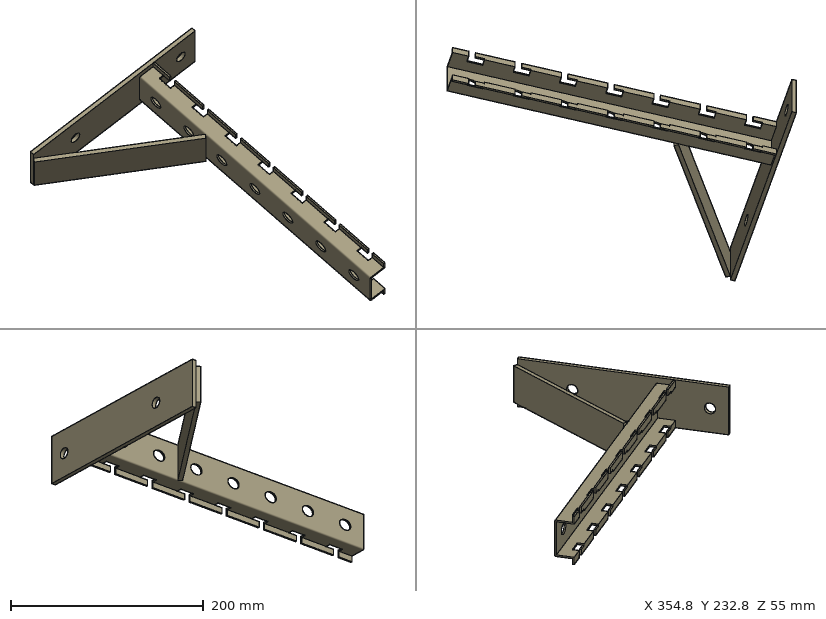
import cadquery as cq
import math

TOTAL_LENGTH = 354.8
PLATE_THICKNESS = 5.0
PLATE_LENGTH = 230.0
PLATE_HEIGHT = 55.0
PLATE_HOLE_DIAMETER = 12.0
PLATE_HOLE_FROM_TOP = 20.2
PLATE_HOLE_SPACING = 150.0

ARM_LENGTH = TOTAL_LENGTH - PLATE_THICKNESS
ARM_HEIGHT = 42.0
ARM_DEPTH = 21.3
LIP_SPAN = PLATE_HEIGHT
ARM_FROM_TOP = 58.0
SHEET_THICKNESS = 2.0
BEND_RADIUS = 1.8
LIP_Y = -ARM_FROM_TOP
WEB_Y = LIP_Y - ARM_DEPTH

STATION_COUNT = 7
STATION_PITCH = 50.0
FIRST_HOLE_X = TOTAL_LENGTH - (STATION_COUNT - 0.5) * STATION_PITCH
HOLE_LENGTH = 15.0
HOLE_HEIGHT = 12.0
NOTCH_LENGTH = 17.0
NOTCH_DEPTH = 7.5
LIP_GAP = 7.0
NOTCH_END_FROM_HOLE = 7.5

BRACE_THICKNESS = PLATE_THICKNESS
BRACE_HEIGHT = ARM_HEIGHT
BRACE_REACH = 99.7


def station_xs():
    """X of the hole centre at every station along the arm."""
    return [FIRST_HOLE_X + i * STATION_PITCH for i in range(STATION_COUNT)]


def make_plate():
    """Flat wall plate with two bolt holes on its centre line."""
    plate = cq.Workplane("XY").box(
        PLATE_THICKNESS, PLATE_LENGTH, PLATE_HEIGHT, centered=(False, False, True)
    ).translate((0, -PLATE_LENGTH, 0))
    hole_ys = [-PLATE_HOLE_FROM_TOP, -PLATE_HOLE_FROM_TOP - PLATE_HOLE_SPACING]
    holes = (
        cq.Workplane("YZ")
        .pushPoints([(y, 0) for y in hole_ys])
        .circle(PLATE_HOLE_DIAMETER / 2)
        .extrude(PLATE_THICKNESS)
    )
    return plate.cut(holes)


def make_channel():
    """Plain hat-section channel before the notches and holes are cut."""
    half_arm = ARM_HEIGHT / 2
    half_lip = LIP_SPAN / 2
    inner_z = half_arm - SHEET_THICKNESS
    upper_outline = [
        (WEB_Y, half_arm),
        (LIP_Y - SHEET_THICKNESS, half_arm),
        (LIP_Y - SHEET_THICKNESS, half_lip),
        (LIP_Y, half_lip),
        (LIP_Y, inner_z),
        (WEB_Y + SHEET_THICKNESS, inner_z),
    ]
    lower_outline = [(y, -z) for y, z in reversed(upper_outline)]
    return (
        cq.Workplane("YZ", origin=(PLATE_THICKNESS, 0, 0))
        .polyline(upper_outline + lower_outline)
        .close()
        .extrude(ARM_LENGTH)
        .faces("<Y")
        .edges("|X")
        .fillet(BEND_RADIUS)
    )


def box_between(x_range, y_range, z_range):
    """Box that fills the given range along each axis."""
    (x0, x1), (y0, y1), (z0, z1) = x_range, y_range, z_range
    return cq.Workplane("XY").box(x1 - x0, y1 - y0, z1 - z0, centered=False).translate((x0, y0, z0))


def make_hook_notch(hole_x):
    """L-shaped notch: a long window in both flanges, open through a short gap in the lips."""
    end_x = hole_x + NOTCH_END_FROM_HOLE
    half_arm = ARM_HEIGHT / 2
    half_lip = LIP_SPAN / 2
    window = box_between(
        (end_x - NOTCH_LENGTH, end_x),
        (LIP_Y - NOTCH_DEPTH, LIP_Y),
        (-half_arm, half_arm),
    )
    gap = box_between(
        (end_x - LIP_GAP, end_x), (LIP_Y - NOTCH_DEPTH, LIP_Y), (-half_lip, half_lip)
    )
    return window.union(gap)


def make_arm():
    """Channel arm with a elliptical web hole and a hook notch at every station."""
    arm = make_channel()
    holes = (
        cq.Workplane("XZ", origin=(0, WEB_Y + SHEET_THICKNESS, 0))
        .pushPoints([(x, 0) for x in station_xs()])
        .ellipse(HOLE_LENGTH / 2, HOLE_HEIGHT / 2)
        .extrude(SHEET_THICKNESS)
    )
    arm = arm.cut(holes)
    for x in station_xs():
        arm = arm.cut(make_hook_notch(x))
    return arm


def make_brace():
    """Square-ended bar whose inner edges touch the plate's lower corner and the arm web."""
    rise = PLATE_LENGTH + WEB_Y
    angle = math.atan2(rise, BRACE_REACH)
    length = math.hypot(rise, BRACE_REACH)
    bar = cq.Workplane("XY").box(
        length, BRACE_THICKNESS, BRACE_HEIGHT, centered=(False, False, True)
    ).translate((0, -BRACE_THICKNESS, 0))
    return bar.rotate((0, 0, 0), (0, 0, 1), math.degrees(angle)).translate(
        (PLATE_THICKNESS, -PLATE_LENGTH, 0)
    )


plate = make_plate()
arm = make_arm()
brace = make_brace()

result = cq.Compound.makeCompound([plate.val(), arm.val(), brace.val()])